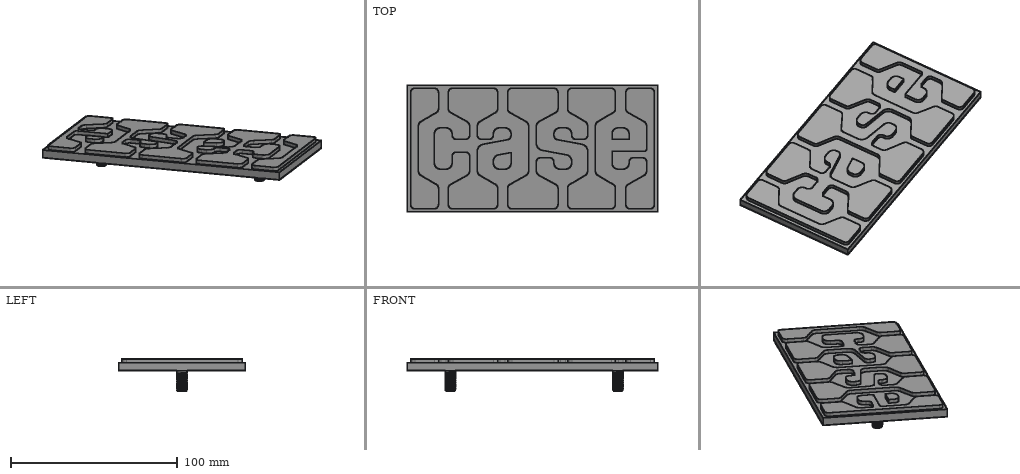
import cadquery as cq
import math

plate_length = 151.13
plate_width = 76.4
plate_thickness = 4.8

total_height = 19.54
stud_length = 12.44

pad_height = total_height - plate_thickness - stud_length
pad_side_margin = 2.15
pad_end_margin = 1.9
pad_right = plate_length / 2 - pad_side_margin
pad_top = plate_width / 2 - pad_end_margin

channel_pitch = 35.53
channel_count = 4
channel_centers = [(index - (channel_count - 1) / 2) * channel_pitch for index in range(channel_count)]
channel_half_width = 15.5
shoulder_y = 15.3
stem_y = 22.4
c_stem = (-3.3, 2.6)
a_stem = (-3.2, 2.8)
s_stem = (-2.4, 3.4)
e_stem = (-3.4, 2.9)

small_radius = 2.6
large_radius = 3.7

inner_near = 4.87
inner_far = 5.8
e_inner_left = -5.42
inner_y = 12.43
lip_y = 5.55
c_lower_lip_y = -2.15
e_bar_y = -1.74
e_bar_radius = 1.7

arm_slope = 0.187
arm_upper_y = 4.8
arm_lower_y = -3.33
arm_tip_radius = 2.8
arm_root_radius = 4.5

stud_spacing = 100.9
stud_pair_x = 0.95
stud_diameter = 6.35
stud_neck = 0.7
stud_tip_chamfer = 0.75
thread_pitch = 1.27
thread_start_angle = 100
thread_depth = 0.75
thread_crest = 0.12
thread_overlap = 0.05


def rounded_outline(corners):
    """Closed wire through (x, y, radius) corners, with an arc at each non-zero radius."""
    edges = []
    spans = []
    for index, (x, y, radius) in enumerate(corners):
        corner = cq.Vector(x, y)
        before = cq.Vector(*corners[index - 1][:2])
        after = cq.Vector(*corners[(index + 1) % len(corners)][:2])
        back = (before - corner).normalized()
        ahead = (after - corner).normalized()
        if radius == 0:
            spans.append((corner, corner))
            continue
        half_angle = back.getAngle(ahead) / 2
        setback = radius / math.tan(half_angle)
        bisector = (back + ahead).normalized()
        middle = corner + bisector * (radius / math.sin(half_angle) - radius)
        start = corner + back * setback
        end = corner + ahead * setback
        edges.append(cq.Edge.makeThreePointArc(start, middle, end))
        spans.append((start, end))
    for index, (start, _) in enumerate(spans):
        edges.append(cq.Edge.makeLine(spans[index - 1][1], start))
    return cq.Wire.combine(edges)[0]


def make_pad(corners):
    """Raised pad standing on the plate."""
    outline = rounded_outline(corners).translate(cq.Vector(0, 0, plate_thickness))
    return cq.Workplane(cq.Solid.extrudeLinear(outline, [], cq.Vector(0, 0, pad_height)))


def place(corners, center_x):
    """Move channel corners to a channel centre."""
    return [(x + center_x, y, radius) for x, y, radius in corners]


def mirror_x(corners):
    """Mirror corners left to right."""
    return [(-x, y, radius) for x, y, radius in corners]


def channel_side(stem_x, inner_corners):
    """One side of a channel, from top to bottom, with its stem and shoulders."""
    side_x = math.copysign(channel_half_width, stem_x)
    upper = [
        (stem_x, pad_top, small_radius),
        (stem_x, stem_y, small_radius),
        (side_x, shoulder_y, large_radius),
    ]
    lower = [(x, -y, radius) for x, y, radius in reversed(upper)]
    return upper + inner_corners + lower


def arm_upper(x):
    """Height of the upper edge of the A arm."""
    return arm_upper_y + arm_slope * x


def arm_lower(x):
    """Height of the lower edge of the A arm."""
    return arm_lower_y + arm_slope * x


def c_finger():
    """Finger reaching into the C from its right side."""
    return [
        (channel_half_width, lip_y, small_radius),
        (inner_near, lip_y, small_radius),
        (inner_near, inner_y, large_radius),
        (-inner_far, inner_y, large_radius),
        (-inner_far, -inner_y, large_radius),
        (inner_near, -inner_y, large_radius),
        (inner_near, c_lower_lip_y, small_radius),
        (channel_half_width, c_lower_lip_y, small_radius),
    ]


def a_finger():
    """Finger reaching into the A from its left side, above the sloped arm."""
    return [
        (-channel_half_width, lip_y, small_radius),
        (-inner_far, lip_y, small_radius),
        (-inner_far, inner_y, large_radius),
        (inner_near, inner_y, large_radius),
        (inner_near, arm_upper(inner_near), arm_tip_radius),
        (-channel_half_width, arm_upper(-channel_half_width), arm_root_radius),
    ]


def s_upper_finger():
    """Finger reaching into the S from its right side: the finger of the A, mirrored."""
    return mirror_x(a_finger())


def s_lower_finger():
    """Finger reaching into the S from its left side, below the sloped arm."""
    mirrored = [
        (channel_half_width, arm_lower(channel_half_width), arm_root_radius),
        (-inner_far, arm_lower(-inner_far), large_radius),
        (-inner_far, -inner_y, large_radius),
        (inner_near, -inner_y, large_radius),
        (inner_near, -lip_y, small_radius),
        (channel_half_width, -lip_y, small_radius),
    ]
    return mirror_x(mirrored)


def e_finger():
    """Finger reaching into the E from its right side, below the crossbar."""
    return [
        (channel_half_width, e_bar_y, e_bar_radius),
        (e_inner_left, e_bar_y, 0),
        (e_inner_left, -inner_y, large_radius),
        (inner_near, -inner_y, large_radius),
        (inner_near, -lip_y, small_radius),
        (channel_half_width, -lip_y, small_radius),
    ]


def a_island():
    """Island closed in by the A, with its top parallel to the sloped arm."""
    return [
        (inner_near, arm_lower(inner_near), 0),
        (-inner_far, arm_lower(-inner_far), large_radius),
        (-inner_far, -inner_y, large_radius),
        (inner_near, -inner_y, large_radius),
    ]


def e_island():
    """Island closed in by the E, above its crossbar."""
    return [
        (e_inner_left, lip_y, 0),
        (inner_near, lip_y, 0),
        (inner_near, inner_y, large_radius),
        (e_inner_left, inner_y, large_radius),
    ]


def make_pads():
    """Five pads between the channels and two islands inside them."""
    c_x, a_x, s_x, e_x = channel_centers
    left_edge = [(-pad_right, y, small_radius) for y in (pad_top, -pad_top)]
    right_edge = mirror_x(left_edge)
    channel_sides = [
        (c_x, channel_side(c_stem[0], []), channel_side(c_stem[1], c_finger())),
        (a_x, channel_side(a_stem[0], a_finger()), channel_side(a_stem[1], [])),
        (s_x, channel_side(s_stem[0], s_lower_finger()), channel_side(s_stem[1], s_upper_finger())),
        (e_x, channel_side(e_stem[0], []), channel_side(e_stem[1], e_finger())),
    ]
    pads = []
    left_boundary = left_edge
    for center_x, left_side, right_side in channel_sides:
        pads.append(make_pad(left_boundary + place(left_side, center_x)[::-1]))
        left_boundary = place(right_side, center_x)
    pads.append(make_pad(left_boundary + right_edge[::-1]))
    pads.append(make_pad(place(a_island(), a_x)))
    pads.append(make_pad(place(e_island(), e_x)))
    return pads


def make_stud():
    """Stud hanging from Z = 0, with a plain neck and a helical V thread down to its tip."""
    stud_radius = stud_diameter / 2
    root_radius = stud_radius - thread_depth
    blank = (
        cq.Workplane("XY")
        .circle(stud_radius)
        .extrude(-stud_length)
        .faces("<Z")
        .chamfer(stud_tip_chamfer)
    )
    helix_start = -stud_length - thread_pitch
    helix_height = stud_length + thread_pitch - stud_neck - thread_pitch / 2
    helix = cq.Wire.makeHelix(thread_pitch, helix_height, root_radius, cq.Vector(0, 0, helix_start))
    groove_half = (thread_pitch - thread_crest) / 2
    outer_half = groove_half * (thread_depth + thread_overlap) / thread_depth
    cutter = (
        cq.Workplane("XZ")
        .polyline(
            [
                (root_radius, helix_start),
                (stud_radius + thread_overlap, helix_start + outer_half),
                (stud_radius + thread_overlap, helix_start - outer_half),
            ]
        )
        .close()
        .sweep(cq.Workplane(helix), isFrenet=True)
    )
    cutter = cutter.rotate((0, 0, 0), (0, 0, 1), thread_start_angle)
    return blank.cut(cutter)


result = cq.Workplane("XY").box(
    plate_length, plate_width, plate_thickness, centered=(True, True, False)
)
for pad in make_pads():
    result = result.union(pad)
stud = make_stud()
for stud_x in (stud_pair_x - stud_spacing / 2, stud_pair_x + stud_spacing / 2):
    result = result.union(stud.translate((stud_x, 0, 0)))